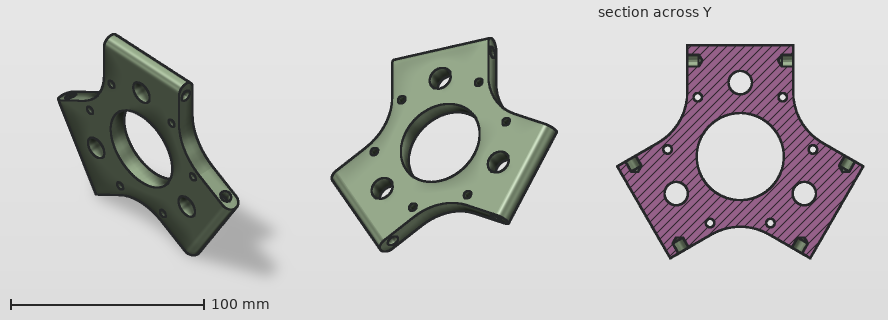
import cadquery as cq
import math

thickness = 10.0
arm_count = 3
arm_width = 55.0
arm_length = 100.0 / math.sqrt(3)
valley_radius = 30.0

bore_diameter = 45.0
arm_hole_diameter = 12.0
arm_hole_distance = 38.3
bolt_hole_diameter = 4.3
bolt_hole_distance = arm_length - 27.0
bolt_hole_offset = 22.0

side_hole_diameter = 6.0
side_hole_distance = arm_length - 8.0
side_hole_depth = 6.0
drill_point_angle = 118.0

arm_pitch = 360.0 / arm_count
half_pitch = math.radians(arm_pitch / 2)
half_width = arm_width / 2
tip_radius = thickness / 2
shoulder = arm_length - tip_radius


def on_every_arm(shape):
    """Copies of an upright-arm shape turned about the central Y axis, one per arm."""
    return [shape.rotate((0, 0, 0), (0, 1, 0), i * arm_pitch) for i in range(arm_count)]


def arm_point(arm_index, across, along):
    """Outline point given by its position across and along an arm."""
    angle = math.radians(arm_index * arm_pitch)
    x = across * math.cos(angle) + along * math.sin(angle)
    z = along * math.cos(angle) - across * math.sin(angle)
    return (x, z)


def flat_plate():
    """Three-armed plate up to the shoulders, with blended valleys between the arms."""
    valley_distance = half_width / math.tan(half_pitch)
    outline = []
    for i in range(arm_count):
        outline.append(arm_point(i, -half_width, shoulder))
        outline.append(arm_point(i, half_width, shoulder))
        outline.append(arm_point(i, half_width, valley_distance))
    back_plane = cq.Workplane("XZ", origin=(0, thickness / 2, 0))
    plate = back_plane.polyline(outline).close().extrude(thickness)

    valley_corner = half_width / math.sin(half_pitch)
    reach = (valley_corner + shoulder) / 2
    valleys = cq.selectors.BoxSelector((-reach, -thickness, -reach), (reach, thickness, reach))
    return plate.edges("|Y").edges(valleys).fillet(valley_radius)


def rounded_tip():
    """Cylinder across the upright arm that rounds off its tip."""
    return (
        cq.Workplane("YZ", origin=(-half_width, 0, shoulder))
        .circle(tip_radius)
        .extrude(arm_width)
    )


def through_hole(across, along, diameter):
    """Cutter through the thickness of the upright arm."""
    return (
        cq.Workplane("XZ", origin=(across, thickness / 2, along))
        .circle(diameter / 2)
        .extrude(thickness)
    )


def side_hole():
    """Drilled hole with a conical bottom, entering the +X side of the upright arm."""
    radius = side_hole_diameter / 2
    point_length = radius / math.tan(math.radians(drill_point_angle / 2))
    floor = half_width - side_hole_depth
    return (
        cq.Workplane("XY")
        .moveTo(half_width, 0)
        .lineTo(half_width, radius)
        .lineTo(floor, radius)
        .lineTo(floor - point_length, 0)
        .close()
        .revolve(360, (0, 0, 0), (1, 0, 0))
        .translate((0, 0, side_hole_distance))
    )


def arm_cutters():
    """All the cutters belonging to the upright arm."""
    return [
        through_hole(0, arm_hole_distance, arm_hole_diameter),
        through_hole(-bolt_hole_offset, bolt_hole_distance, bolt_hole_diameter),
        through_hole(bolt_hole_offset, bolt_hole_distance, bolt_hole_diameter),
        side_hole(),
        side_hole().mirror("YZ"),
    ]


result = flat_plate()
for tip in on_every_arm(rounded_tip()):
    result = result.union(tip, clean=True)

result = result.cut(through_hole(0, 0, bore_diameter))
for cutter in arm_cutters():
    for turned_cutter in on_every_arm(cutter):
        result = result.cut(turned_cutter)